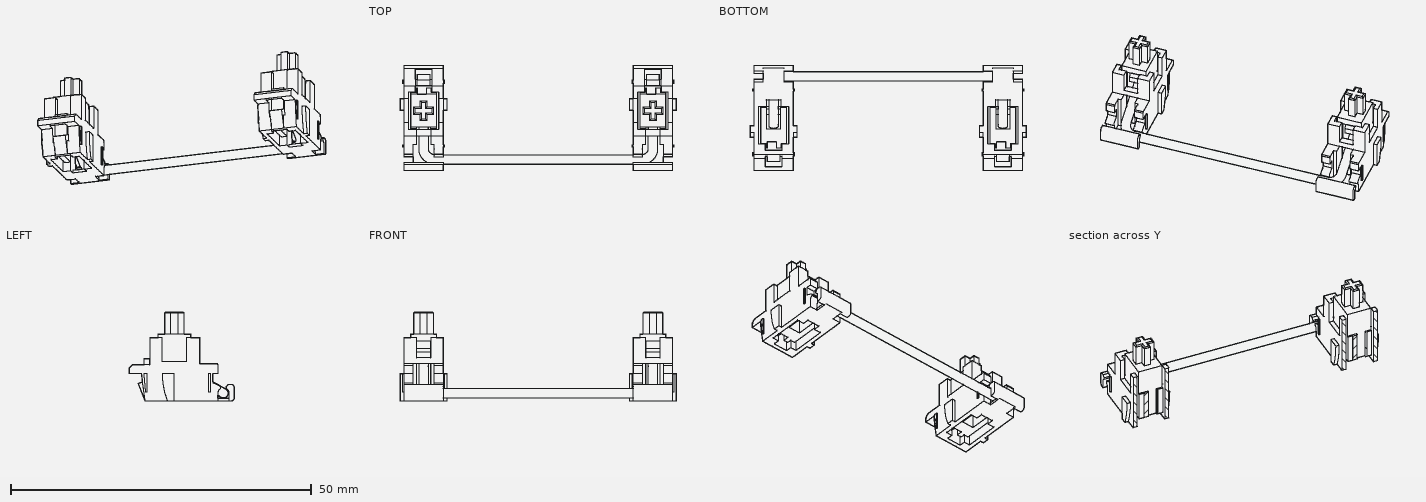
import cadquery as cq
import math


housing_offset = 19.05
overall_height = 14.8

wire_diameter = 1.6
wire_radius = wire_diameter / 2
wire_y = -8.15
wire_z = 1.3
bend_radius = 2.0
leg_angle = math.radians(30)
leg_length = 9.5

housing_width = 6.55
flange_bottom = 4.57
front_ledge_top = 6.2
rear_flange_top = 6.05
tower_top = 10.52
tower_front = -4.25
tower_rear = 4.07
front_ledge_y = -7.28
ledge_chamfer_depth = 0.1
ledge_chamfer_height = 0.26
front_wall_y = -6.4
rear_flange_y = 7.52
rear_chamfer = 0.55
nose_y = -7.7
nose_root_z = 3.03
nose_tip_z = 2.44
nose_fillet = 0.4
rear_wall_top_y = 5.48
rear_wall_knee_y = 5.3
rear_wall_knee_z = 3.05
rear_wall_bottom_y = 4.87

cradle_radius = 0.9
cradle_mouth = 0.45
cradle_floor = 0.47
lip_front = -9.98
lip_top = 2.77
lip_fillet = 0.55
lip_inner_chamfer = 0.38

cavity_width = 5.0
cavity_front = -3.13
cavity_rear = 3.07
side_window_half = 2.02
side_window_bottom = 6.6
channel_width = 2.4
channel_mouth_width = 3.5
channel_mouth_rear = -5.6
front_slot_bottom = 7.2
rear_slot_width = 2.72
rear_slot_end = 4.12
rear_window_end = 6.83
rear_window_bottom = 2.2

latch_width = 2.14
latch_top = 7.06
latch_back_y = 5.07
latch_tip_y = 6.02
latch_tip_z = 2.9
latch_shoulder_z = 3.3

pad_reach = 0.625
pad_front = 0.02
pad_rear = 2.0
pad_bottom_rear = 1.15
rib_reach = 0.2
rib_bottom = 1.47
front_rib_start = -6.03
front_rib_end = -5.7
rear_rib_start = 4.53
rear_rib_top_end = 5.07
rear_rib_bottom_end = 4.78

stem_width = 4.3
stem_bottom = 1.5
stem_top = 11.1
stem_half_length = 2.75
flange_half_length = 3.03
flange_top = 6.6
cross_x_length = 3.32
cross_y_length = 3.26
cross_x_arm_thickness = 1.27
cross_y_arm_thickness = 1.15
cross_chamfer_width = 0.25
cross_chamfer_height = 0.15
stem_opening_width = 2.28
opening_top = 9.95
sill_top = 8.7
sill_bottom = 8.15
sill_front_y = -1.8
sill_back_y = -1.3
leg_pocket_end = 0.6
leg_pocket_top = 7.2
lug_rear = 3.77
lug_outer_x = 1.3
rear_notch_left = -1.05
rear_notch_right = 0.45


def block(x_range, y_range, z_range):
    """Axis-aligned box given by its limits."""
    sizes = [end - start for start, end in (x_range, y_range, z_range)]
    corner = (x_range[0], y_range[0], z_range[0])
    return cq.Workplane("XY").box(*sizes, centered=False).translate(corner)


def centred_block(width, y_range, z_range):
    """Box centred on the stem plane X = 0."""
    return block((-width / 2, width / 2), y_range, z_range)


def side_outline(x_start=0.0):
    """Sketch plane whose local axes are Y and Z; extrudes toward +X."""
    return cq.Workplane("YZ", origin=(x_start, 0, 0))


def side_extrusion(points, width):
    """Closed YZ outline extruded symmetrically about X = 0."""
    return side_outline().polyline(points).close().extrude(width / 2, both=True)


def housing_shell():
    """Solid outer shape: lower body with noses, flanges and tower."""
    outline = [
        (front_wall_y, 0),
        (rear_wall_bottom_y, 0),
        (rear_wall_knee_y, rear_wall_knee_z),
        (rear_wall_top_y, flange_bottom),
        (rear_flange_y, flange_bottom),
        (rear_flange_y, rear_flange_top - rear_chamfer),
        (rear_flange_y - rear_chamfer, rear_flange_top),
        (tower_rear, rear_flange_top),
        (tower_rear, tower_top),
        (tower_front, tower_top),
        (tower_front, front_ledge_top),
        (front_ledge_y + ledge_chamfer_depth, front_ledge_top),
        (front_ledge_y, front_ledge_top - ledge_chamfer_height),
        (front_ledge_y, flange_bottom),
        (front_wall_y, flange_bottom),
        (front_wall_y, nose_root_z),
        (nose_y, nose_tip_z),
        (nose_y, 0),
    ]
    shell = side_extrusion(outline, housing_width)
    nose_edge = cq.selectors.NearestToPointSelector((0, nose_y, nose_tip_z))
    return shell.edges("|X").edges(nose_edge).fillet(nose_fillet)


def wire_cradle_cut():
    """Round seat for the wire, open above and squared off below."""
    seat = (
        side_outline()
        .center(wire_y, wire_z)
        .circle(cradle_radius)
        .extrude(housing_width / 2, both=True)
    )
    below = centred_block(housing_width, (wire_y - cradle_radius, wire_y + cradle_radius), (0, wire_z))
    return seat.union(below)


def front_lip():
    """Bar in front of the wire, rounded at the front, bevelled toward the wire."""
    lip = centred_block(housing_width, (lip_front, wire_y - cradle_mouth), (0, lip_top))
    lip = lip.faces("<Y").edges("|X").fillet(lip_fillet)
    return lip.faces(">Z").edges(">Y").chamfer(lip_inner_chamfer)


def cradle_floor_plate():
    """Thin plate under the wire leg, tying the lip to the body."""
    leg_floor = centred_block(channel_width, (channel_mouth_rear, tower_front), (0, cradle_floor))
    plate_front = wire_y - cradle_radius - cradle_mouth
    mouth_floor = centred_block(channel_mouth_width, (plate_front, channel_mouth_rear), (0, cradle_floor))
    return leg_floor.union(mouth_floor)


def housing_openings():
    """Stem cavity, side windows, wire channel and the tower slots."""
    cavity = centred_block(cavity_width, (cavity_front, cavity_rear), (0, tower_top))
    windows = centred_block(
        housing_width, (-side_window_half, side_window_half), (side_window_bottom, tower_top)
    )
    channel = centred_block(channel_width, (nose_y, cavity_front), (0, front_ledge_top))
    channel_mouth = centred_block(channel_mouth_width, (nose_y, channel_mouth_rear), (0, front_ledge_top))
    front_slot = centred_block(channel_width, (tower_front, cavity_front), (front_slot_bottom, tower_top))
    rear_slot = centred_block(rear_slot_width, (cavity_rear, rear_slot_end), (0, tower_top))
    rear_window = centred_block(
        rear_slot_width, (rear_slot_end, rear_window_end), (rear_window_bottom, rear_flange_top)
    )
    openings = cavity
    for opening in (windows, channel, channel_mouth, front_slot, rear_slot, rear_window):
        openings = openings.union(opening)
    return openings


def snap_latch():
    """Upright tongue in the rear window with a wedge-shaped catch."""
    outline = [
        (rear_slot_end, 0),
        (rear_wall_bottom_y, 0),
        (latch_tip_y, latch_tip_z),
        (latch_back_y, latch_shoulder_z),
        (latch_back_y, latch_top),
        (rear_slot_end, latch_top),
    ]
    return side_extrusion(outline, latch_width)


def guide_pad(x_start):
    """Side pad whose rear edge curves forward toward the underside."""
    setback = pad_rear - pad_bottom_rear
    curve_radius = (flange_bottom**2 + setback**2) / (2 * setback)
    mid_drop = flange_bottom / 2
    mid_y = pad_rear - curve_radius + math.sqrt(curve_radius**2 - mid_drop**2)
    return (
        side_outline(x_start)
        .moveTo(pad_front, 0)
        .lineTo(pad_front, flange_bottom)
        .lineTo(pad_rear, flange_bottom)
        .threePointArc((mid_y, flange_bottom - mid_drop), (pad_bottom_rear, 0))
        .close()
        .extrude(pad_reach)
    )


def side_ribs():
    """Thin upright ribs on both sides, the rear pair tapering downward."""
    width = housing_width + 2 * rib_reach
    front_rib = centred_block(width, (front_rib_start, front_rib_end), (rib_bottom, flange_bottom))
    rear_outline = [
        (rear_rib_start, rib_bottom),
        (rear_rib_bottom_end, rib_bottom),
        (rear_rib_top_end, flange_bottom),
        (rear_rib_start, flange_bottom),
    ]
    return front_rib.union(side_extrusion(rear_outline, width))


def make_housing():
    """One housing as a single solid about its stem axis."""
    body = housing_shell().union(side_ribs())
    body = body.union(guide_pad(housing_width / 2))
    body = body.union(guide_pad(-housing_width / 2 - pad_reach))
    body = body.cut(housing_openings())
    body = body.union(front_lip()).cut(wire_cradle_cut())
    return body.union(cradle_floor_plate()).union(snap_latch()).solids()


def stem_cross():
    """Cross post with a narrow bevel around its top."""
    post_height = overall_height - stem_top
    straight_height = post_height - cross_chamfer_height

    def arm(x_size, y_size):
        inset = 2 * cross_chamfer_width
        base = cq.Workplane("XY", origin=(0, 0, stem_top))
        straight = base.rect(x_size, y_size).extrude(straight_height)
        bevel = (
            straight.faces(">Z")
            .workplane()
            .rect(x_size, y_size)
            .workplane(offset=cross_chamfer_height)
            .rect(x_size - inset, y_size - inset)
            .loft(combine=False)
        )
        return straight.union(bevel)

    x_arm = arm(cross_x_length, cross_x_arm_thickness)
    return x_arm.union(arm(cross_y_arm_thickness, cross_y_length))


def stem_front_opening():
    """Front opening with a sloped sill, above the pocket for the wire leg."""
    outline = [
        (-flange_half_length, stem_bottom),
        (leg_pocket_end, stem_bottom),
        (leg_pocket_end, leg_pocket_top),
        (sill_front_y, leg_pocket_top),
        (sill_front_y, sill_bottom),
        (sill_back_y, sill_top),
        (sill_back_y, opening_top),
        (-flange_half_length, opening_top),
    ]
    return side_extrusion(outline, stem_opening_width)


def make_stem():
    """One stem as a single solid about its own axis."""
    body = centred_block(stem_width, (-stem_half_length, stem_half_length), (stem_bottom, stem_top))
    flanges = centred_block(
        stem_width, (-flange_half_length, flange_half_length), (stem_bottom, flange_top)
    )
    lugs = block((-lug_outer_x, lug_outer_x), (0, lug_rear), (stem_bottom, flange_top))
    notch = block(
        (rear_notch_left, rear_notch_right), (stem_half_length, lug_rear), (stem_bottom, flange_top)
    )
    body = body.union(flanges).union(lugs).cut(notch).cut(stem_front_opening())
    return body.union(stem_cross()).solids()


def make_wire():
    """Straight bar with a quarter bend and a rising leg at each end."""
    plane_normal = (0, -math.sin(leg_angle), math.cos(leg_angle))
    leg_direction = (0, math.cos(leg_angle), math.sin(leg_angle))
    wire_plane = cq.Plane(origin=(0, wire_y, wire_z), xDir=(1, 0, 0), normal=plane_normal)

    bar_end = housing_offset - bend_radius
    bend_mid_x = bar_end + bend_radius * math.sin(math.pi / 4)
    bend_mid_rise = bend_radius * (1 - math.cos(math.pi / 4))
    path = (
        cq.Workplane(wire_plane)
        .moveTo(-housing_offset, leg_length)
        .lineTo(-housing_offset, bend_radius)
        .threePointArc((-bend_mid_x, bend_mid_rise), (-bar_end, 0))
        .lineTo(bar_end, 0)
        .threePointArc((bend_mid_x, bend_mid_rise), (housing_offset, bend_radius))
        .lineTo(housing_offset, leg_length)
    )
    leg_end = wire_plane.toWorldCoords((-housing_offset, leg_length))
    section = cq.Workplane(cq.Plane(origin=leg_end, xDir=(1, 0, 0), normal=leg_direction))
    return section.circle(wire_radius).sweep(path)


wire = make_wire()
housing = make_housing()
stem = make_stem()

bodies = [wire.val()]
for x in (-housing_offset, housing_offset):
    bodies.append(housing.translate((x, 0, 0)).val())
    bodies.append(stem.translate((x, 0, 0)).val())

result = cq.Compound.makeCompound(bodies)